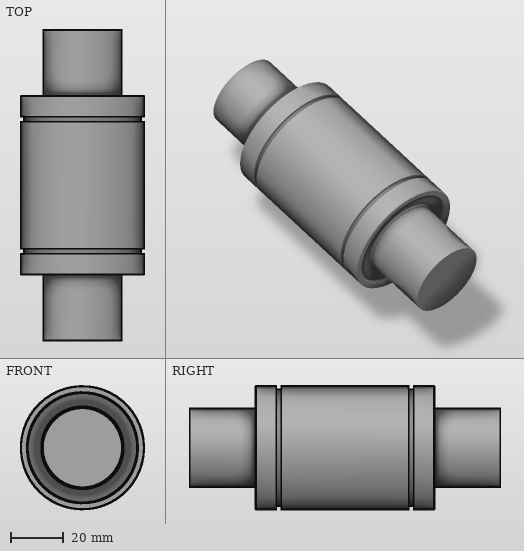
import cadquery as cq

shaft_diameter = 30.0
shaft_length = 118.0

sleeve_diameter = 47.0
sleeve_length = 68.0
sleeve_edge_chamfer = 0.2

groove_diameter = 44.5
groove_width = 1.9
groove_outer_span = 52.2

recess_diameter = 41.4
recess_rim_diameter = 42.4
recess_depth = 1.7
collar_base_diameter = 31.5
collar_top_diameter = 30.7
collar_height = 0.8


def disc(diameter, start, length):
    """Cylinder on the Y axis, reaching from y = start to y = start + length."""
    return cq.Workplane("XZ", origin=(0, start, 0)).circle(diameter / 2).extrude(-length)


def ring(outer_diameter, inner_diameter, start, length):
    """Tube on the Y axis, reaching from y = start to y = start + length."""
    return disc(outer_diameter, start, length).cut(disc(inner_diameter, start, length))


def end_recess():
    """Volume removed from the +Y end of the sleeve, leaving the collar standing."""
    sleeve_end = sleeve_length / 2
    recess_floor = sleeve_end - recess_depth
    collar_top = recess_floor + collar_height
    recess_radius = recess_diameter / 2
    rim_radius = recess_rim_diameter / 2
    rim_start = sleeve_end - (rim_radius - recess_radius)
    return (
        cq.Workplane("XY")
        .moveTo(0, sleeve_end)
        .lineTo(rim_radius, sleeve_end)
        .lineTo(recess_radius, rim_start)
        .lineTo(recess_radius, recess_floor)
        .lineTo(collar_base_diameter / 2, recess_floor)
        .lineTo(collar_top_diameter / 2, collar_top)
        .lineTo(0, collar_top)
        .close()
        .revolve(360, (0, 0, 0), (0, 1, 0))
    )


sleeve = disc(sleeve_diameter, -sleeve_length / 2, sleeve_length)
sleeve = sleeve.faces("<Y or >Y").chamfer(sleeve_edge_chamfer)

groove_start = groove_outer_span / 2 - groove_width
groove = ring(sleeve_diameter, groove_diameter, groove_start, groove_width)
recess = end_recess()

for cutter in (groove, recess):
    sleeve = sleeve.cut(cutter)
    sleeve = sleeve.cut(cutter.mirror("XZ"))

shaft = disc(shaft_diameter, -shaft_length / 2, shaft_length)

result = sleeve.union(shaft)